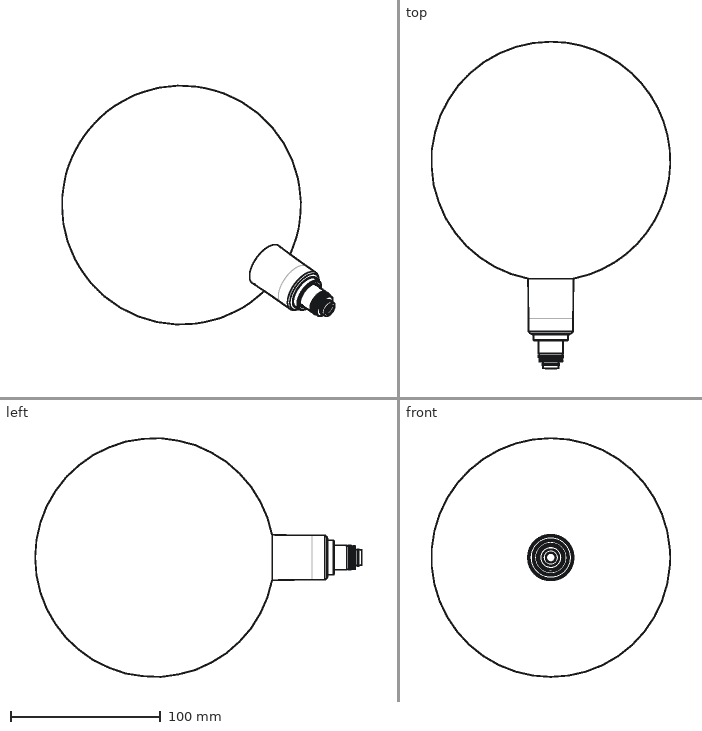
import cadquery as cq
import math

overall_length = 218.0
globe_diameter = 159.5
globe_radius = globe_diameter / 2
tip_y = globe_radius - overall_length

stem_globe_diameter = 30.5
collar_diameter = 29.9
collar_start = 33.5

collar_edge = 24.8
collar_end_diameter = 28.0
collar_end = 23.5
cone_end_diameter = 24.5

shoulder_start = 22.7
shoulder_diameter = 23.0
shoulder_end = 18.5
shoulder_bevel = 0.7
shoulder_recess_diameter = 18.7
shoulder_recess_depth = 2.2

spigot_diameter = 16.5
spigot_end = 10.2
groove_diameter = 15.7
ridge_width = 0.5
ridge_ends = (8.5, 7.5)
grooved_end = 6.8

neck_diameter = 11.3
disc_diameter = 15.7
disc_start = 5.9
disc_end = 4.4
disc_bevel = 0.33
nose_diameter = 10.5
rim_diameter = 11.3
rim_start = 3.0
rim_end = 2.2

tip_cone_height = 0.2
recess_mouth_diameter = 7.0
recess_mouth_depth = 1.7
recess_diameter = 6.0
recess_depth = 2.5


def turned(*sections):
    """Solid of revolution through (distance from tip, diameter) pairs."""
    outline = [(diameter / 2, tip_y + distance) for distance, diameter in sections]
    axis_ends = [(0, outline[-1][1]), (0, outline[0][1])]
    return cq.Workplane("XY").polyline(outline + axis_ends).close().revolve(360, (0, 0, 0), (0, 1, 0))


def cylinder(diameter, start, end):
    return turned((start, diameter), (end, diameter))


def make_globe():
    half_disc = cq.Workplane("XY").moveTo(0, -globe_radius)
    half_disc = half_disc.threePointArc((globe_radius, 0), (0, globe_radius)).close()
    return half_disc.revolve(360, (0, 0, 0), (0, 1, 0))


def make_stem():
    seat_radius = stem_globe_diameter / 2
    seat = -tip_y - math.sqrt(globe_radius**2 - seat_radius**2)
    return turned((-tip_y, stem_globe_diameter), (seat, stem_globe_diameter), (collar_start, collar_diameter))


def make_collar():
    collar = turned(
        (collar_start, collar_diameter),
        (collar_edge, collar_diameter),
        (collar_end, collar_end_diameter),
        (shoulder_start, cone_end_diameter),
    )
    shoulder = cylinder(shoulder_diameter, shoulder_start, shoulder_end).faces("<Y").chamfer(shoulder_bevel)
    recess = cylinder(shoulder_recess_diameter, shoulder_end + shoulder_recess_depth, shoulder_end)
    return collar.union(shoulder).cut(recess)


def make_spigot():
    spigot = cylinder(spigot_diameter, shoulder_start, spigot_end)
    spigot = spigot.union(cylinder(groove_diameter, spigot_end, grooved_end))
    for ridge_end in ridge_ends:
        spigot = spigot.union(cylinder(spigot_diameter, ridge_end + ridge_width, ridge_end))
    return spigot


def make_nose():
    neck = cylinder(neck_diameter, grooved_end, disc_start)
    disc = cylinder(disc_diameter, disc_start, disc_end).faces("<Y or >Y").chamfer(disc_bevel)
    nose = turned((disc_end, nose_diameter), (tip_cone_height, nose_diameter), (0, recess_mouth_diameter))
    rim = cylinder(rim_diameter, rim_start, rim_end)
    mouth = cylinder(recess_mouth_diameter, recess_mouth_depth, 0)
    recess = cylinder(recess_diameter, recess_depth, 0)
    return neck.union(disc).union(nose).union(rim).cut(mouth).cut(recess)


result = make_globe().union(make_stem()).union(make_collar()).union(make_spigot()).union(make_nose())